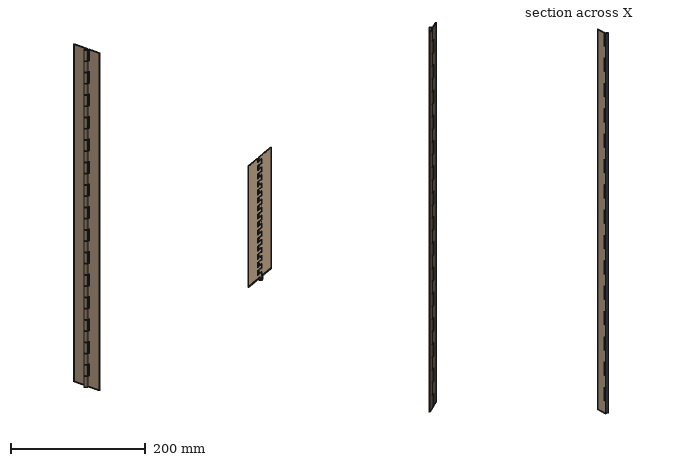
import cadquery as cq


length = 600.0
open_width = 45.0
barrel_diameter = 6.0
leaf_thickness = 1.5
notch_half_width = 4.0
knuckle_count = 30

leaf_reach = open_width / 2
barrel_radius = barrel_diameter / 2
pin_radius = barrel_radius - leaf_thickness
leaf_back = barrel_radius
leaf_front = leaf_back - leaf_thickness
knuckle_length = length / knuckle_count


def make_plate(side):
    """Flat strip of a leaf, from its notch edge out to its long free edge."""
    strip_width = leaf_reach - notch_half_width
    strip_center = side * (notch_half_width + leaf_reach) / 2
    return (
        cq.Workplane("XY")
        .center(strip_center, (leaf_front + leaf_back) / 2)
        .rect(strip_width, leaf_thickness)
        .extrude(length)
    )


def make_knuckle(side, bottom):
    """Bored barrel with a tangent web that joins it to the plate on the given side."""
    plane = cq.Workplane("XY").workplane(offset=bottom)
    barrel = plane.circle(barrel_radius).extrude(knuckle_length)
    web = (
        plane.moveTo(0, leaf_front)
        .lineTo(side * notch_half_width, leaf_front)
        .lineTo(side * notch_half_width, leaf_back)
        .lineTo(0, leaf_back)
        .close()
        .extrude(knuckle_length)
    )
    bore = plane.circle(pin_radius).extrude(knuckle_length)
    return barrel.union(web).cut(bore)


def make_leaf(side, first_knuckle):
    """One leaf: a plate with every second knuckle, counted from the bottom."""
    leaf = make_plate(side)
    for index in range(first_knuckle, knuckle_count, 2):
        leaf = leaf.union(make_knuckle(side, index * knuckle_length))
    return leaf


def make_pin():
    """Plain round pin that fills the bore over the whole length."""
    return cq.Workplane("XY").circle(pin_radius).extrude(length)


right_leaf = make_leaf(side=1, first_knuckle=0)
left_leaf = make_leaf(side=-1, first_knuckle=1)
pin = make_pin()

result = cq.Compound.makeCompound([left_leaf.val(), right_leaf.val(), pin.val()])